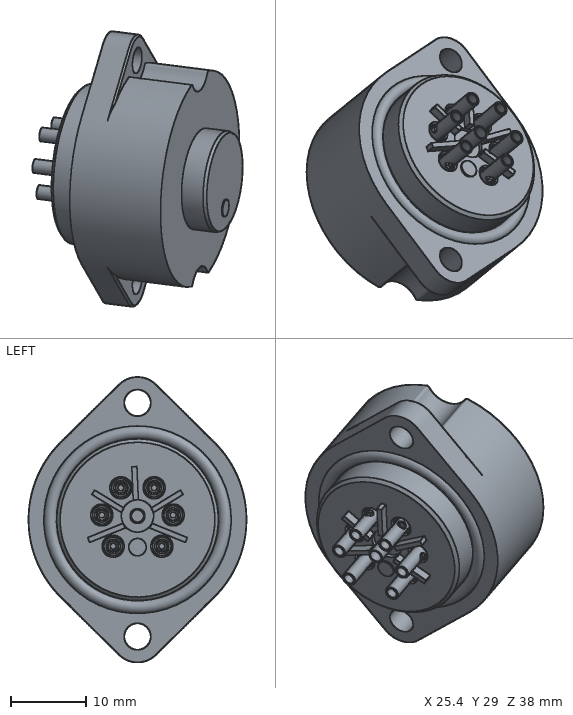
import cadquery as cq
import math

PIN_TIP_X = -8.77
CENTER_TUBE_TIP_X = -7.3
RIB_FRONT_X = -5.5
SHELL_FRONT_X = -4.25
FLANGE_BACK_X = 4.0
BODY_BACK_X = 12.95
PLUG_BACK_X = 16.48

BODY_RADIUS = 14.5
SCREW_HOLE_DIAMETER = 3.5
FLANGE_TIP_Z = 19.0
FLANGE_TIP_RADIUS = 3.45
SCREW_Z = FLANGE_TIP_Z - FLANGE_TIP_RADIUS
FLANGE_CHAMFER = 0.25
SCREW_GROOVE_RADIUS = 3.1
SCREW_GROOVE_ROUNDING = 0.4
SHELL_DIAMETER = 21.5
SHELL_CHAMFER = 0.45
PLUG_DIAMETER = 13.6
PLUG_CHAMFER_LENGTH = 0.45
PLUG_CHAMFER_DEPTH = 0.2
PLUG_FLAT_Z = -6.55

SEAL_SECTION_RADIUS = 0.87
SEAL_PROTRUSION = 0.65

PIN_CIRCLE_RADIUS = 4.8
PIN_PITCH_ANGLE = 55.0
PIN_DIAMETER = 1.9
PIN_BORE_DIAMETER = 1.4
PIN_BORE_TIP_DIAMETER = 0.8
PIN_BORE_TIP_LENGTH = 0.3
CROSS_HOLE_DIAMETER = 1.2
CROSS_HOLE_X = -4.75
CROSS_HOLE_ANGLES = (180.0, -90.0, -27.5, 10.0, 90.0, 180.0)
CLEARANCE_DIAMETER = 2.45
CLEARANCE_MOUTH_DIAMETER = 2.92
CLEARANCE_DEPTH = 0.75
CLEARANCE_MOUTH_DEPTH = 0.23

HUB_Z = 0.5
HUB_DIAMETER = 4.3
HUB_DEPTH = 0.6
CENTER_TUBE_DIAMETER = 1.97
CENTER_TUBE_BORE = 1.65
RIB_THICKNESS = 0.7
TOP_RIB = ((0.23, 2.62), (0.4, 7.05))
UPPER_RIB = ((1.97, 1.25), (5.9, 3.65))
LOWER_RIB = ((1.8, -0.8), (6.5, -2.7))
BADGE_DIAMETER = 2.3
BADGE_Z = -3.65
FRONT_BADGE_HEIGHT = 0.23
BACK_BADGE_HEIGHT = 0.15


def yz_plane(x):
    return cq.Workplane("YZ", origin=(x, 0, 0))


def rod(y, z, diameter, x_start, x_end):
    return yz_plane(x_start).center(y, z).circle(diameter / 2).extrude(x_end - x_start)


def cone(y, z, start_diameter, end_diameter, x_start, length):
    frustum = cq.Solid.makeCone(
        start_diameter / 2, end_diameter / 2, length, cq.Vector(x_start, y, z), cq.Vector(1, 0, 0)
    )
    return cq.Workplane(obj=frustum)


def make_flange():
    """Body circle joined to the two rounded tips by their common tangents."""
    tangent_sin = (BODY_RADIUS - FLANGE_TIP_RADIUS) / SCREW_Z
    tangent_cos = math.sqrt(1 - tangent_sin**2)
    tip_y = FLANGE_TIP_RADIUS * tangent_cos
    tip_z = SCREW_Z + FLANGE_TIP_RADIUS * tangent_sin
    side_y = BODY_RADIUS * tangent_cos
    side_z = BODY_RADIUS * tangent_sin
    return (
        yz_plane(0)
        .moveTo(tip_y, tip_z)
        .threePointArc((0, FLANGE_TIP_Z), (-tip_y, tip_z))
        .lineTo(-side_y, side_z)
        .threePointArc((-BODY_RADIUS, 0), (-side_y, -side_z))
        .lineTo(-tip_y, -tip_z)
        .threePointArc((0, -FLANGE_TIP_Z), (tip_y, -tip_z))
        .lineTo(side_y, -side_z)
        .threePointArc((BODY_RADIUS, 0), (side_y, side_z))
        .close()
        .extrude(FLANGE_BACK_X)
        .faces(">X")
        .chamfer(FLANGE_CHAMFER)
    )


def make_body():
    """Round body with a screw-head groove and rounded groove edges at top and bottom."""
    body = rod(0, 0, 2 * BODY_RADIUS, 0, BODY_BACK_X)
    for groove_z in (SCREW_Z, -SCREW_Z):
        body = body.cut(rod(0, groove_z, 2 * SCREW_GROOVE_RADIUS, 0, BODY_BACK_X))
    near_grooves = cq.selectors.BoxSelector(
        (0, -BODY_RADIUS, -BODY_RADIUS / 2), (BODY_BACK_X, BODY_RADIUS, BODY_RADIUS / 2)
    )
    return body.edges(cq.selectors.SubtractSelector(
        cq.selectors.ParallelDirSelector(cq.Vector(1, 0, 0)), near_grooves
    )).fillet(SCREW_GROOVE_ROUNDING)


def make_plug():
    """Rear plug with a tapered lead-in and a shallow flat underneath."""
    taper_x = PLUG_BACK_X - PLUG_CHAMFER_LENGTH
    end_diameter = PLUG_DIAMETER - 2 * PLUG_CHAMFER_DEPTH
    plug = rod(0, 0, PLUG_DIAMETER, BODY_BACK_X, taper_x)
    plug = plug.union(cone(0, 0, PLUG_DIAMETER, end_diameter, taper_x, PLUG_CHAMFER_LENGTH))
    plug_length = PLUG_BACK_X - BODY_BACK_X
    below_flat = (
        cq.Workplane("XY", origin=(BODY_BACK_X, 0, PLUG_FLAT_Z))
        .rect(2 * plug_length, PLUG_DIAMETER)
        .extrude(-PLUG_DIAMETER)
    )
    return plug.cut(below_flat)


def make_seal():
    ring_radius = SHELL_DIAMETER / 2 + SEAL_SECTION_RADIUS
    center_x = SEAL_SECTION_RADIUS - SEAL_PROTRUSION
    return cq.Workplane(obj=cq.Solid.makeTorus(
        ring_radius, SEAL_SECTION_RADIUS, cq.Vector(center_x, 0, 0), cq.Vector(1, 0, 0)
    ))


def make_rib(inner_end, outer_end):
    run_y = outer_end[0] - inner_end[0]
    run_z = outer_end[1] - inner_end[1]
    middle = ((inner_end[0] + outer_end[0]) / 2, (inner_end[1] + outer_end[1]) / 2)
    return (
        yz_plane(RIB_FRONT_X)
        .center(*middle)
        .transformed(rotate=(0, 0, math.degrees(math.atan2(run_z, run_y))))
        .rect(math.hypot(run_y, run_z), RIB_THICKNESS)
        .extrude(SHELL_FRONT_X - RIB_FRONT_X)
    )


def mirrored(end):
    return (-end[0], end[1])


def direction_yz(angle):
    """Y and Z parts of the unit direction at an angle in degrees from +Z toward +Y."""
    return math.sin(math.radians(angle)), math.cos(math.radians(angle))


def add_contact(part, pin_angle, cross_hole_angle):
    """Bored pin standing in a countersunk clearance hole; angles run from +Z toward +Y."""
    out_y, out_z = direction_yz(pin_angle)
    y = PIN_CIRCLE_RADIUS * out_y
    z = PIN_CIRCLE_RADIUS * out_z
    floor_x = SHELL_FRONT_X + CLEARANCE_DEPTH
    part = part.cut(rod(y, z, CLEARANCE_DIAMETER, SHELL_FRONT_X, floor_x))
    part = part.cut(
        cone(y, z, CLEARANCE_MOUTH_DIAMETER, CLEARANCE_DIAMETER, SHELL_FRONT_X, CLEARANCE_MOUTH_DEPTH)
    )
    pin = rod(y, z, PIN_DIAMETER, PIN_TIP_X, floor_x)
    pin = pin.cut(rod(y, z, PIN_BORE_DIAMETER, PIN_TIP_X, SHELL_FRONT_X))
    pin = pin.cut(
        cone(y, z, PIN_BORE_DIAMETER, PIN_BORE_TIP_DIAMETER, SHELL_FRONT_X, PIN_BORE_TIP_LENGTH)
    )
    hole_y, hole_z = direction_yz(cross_hole_angle)
    cross_hole = cq.Solid.makeCylinder(
        CROSS_HOLE_DIAMETER / 2, PIN_DIAMETER, cq.Vector(CROSS_HOLE_X, y, z), cq.Vector(0, hole_y, hole_z)
    )
    return part.union(pin.cut(cq.Workplane(obj=cross_hole)))


result = make_flange().union(make_body())
for screw_z in (SCREW_Z, -SCREW_Z):
    result = result.cut(rod(0, screw_z, SCREW_HOLE_DIAMETER, 0, FLANGE_BACK_X))
shell = rod(0, 0, SHELL_DIAMETER, SHELL_FRONT_X, 0).faces("<X").chamfer(SHELL_CHAMFER)
result = result.union(shell).union(make_seal()).union(make_plug())

first_pin_angle = -PIN_PITCH_ANGLE * (len(CROSS_HOLE_ANGLES) - 1) / 2
for index, hole_angle in enumerate(CROSS_HOLE_ANGLES):
    result = add_contact(result, first_pin_angle + index * PIN_PITCH_ANGLE, hole_angle)

hub_floor_x = SHELL_FRONT_X + HUB_DEPTH
result = result.cut(rod(0, HUB_Z, HUB_DIAMETER, SHELL_FRONT_X, hub_floor_x))
result = result.union(make_rib(*TOP_RIB))
for inner, outer in (UPPER_RIB, LOWER_RIB):
    result = result.union(make_rib(inner, outer))
    result = result.union(make_rib(mirrored(inner), mirrored(outer)))
result = result.union(rod(0, HUB_Z, CENTER_TUBE_DIAMETER, CENTER_TUBE_TIP_X, hub_floor_x))
result = result.cut(rod(0, HUB_Z, CENTER_TUBE_BORE, CENTER_TUBE_TIP_X, hub_floor_x))

result = result.union(rod(0, BADGE_Z, BADGE_DIAMETER, SHELL_FRONT_X - FRONT_BADGE_HEIGHT, SHELL_FRONT_X))
result = result.union(rod(0, BADGE_Z, BADGE_DIAMETER, PLUG_BACK_X, PLUG_BACK_X + BACK_BADGE_HEIGHT))